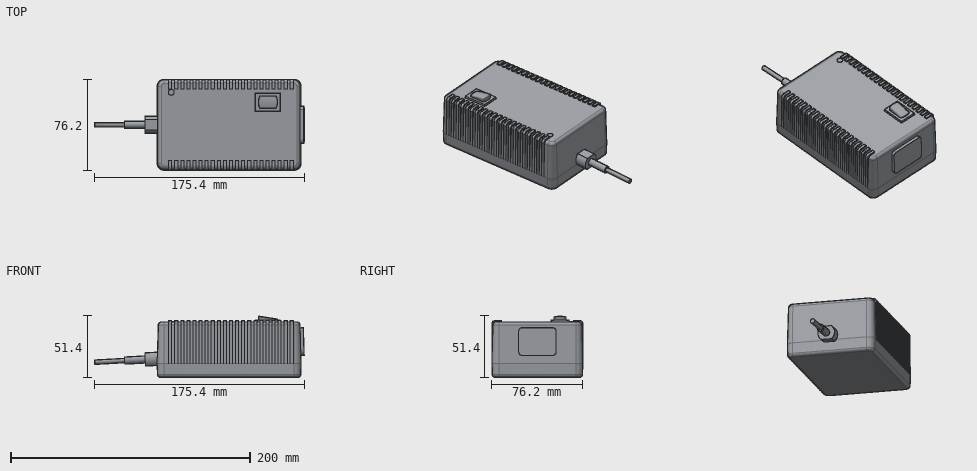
import cadquery as cq
import math

LENGTH = 120.5
WIDTH = 76.2
CORNER_RADIUS = 6.0
PARTING_Z = 11.5
HOUSING_TOP = 46.5
DRAFT = 1.7
EDGE_FILLET = 2.6

RIB_COUNT = 21
RIB_WIDTH = 2.6
RIB_PITCH = 5.1
RIB_FIRST_X = -49.3
RIB_REACH = 8.0
RIB_HEIGHT = 1.0

LAMP_X = -48.5
LAMP_Y = 27.2
LAMP_DIAMETER = 5.0
LAMP_HEIGHT = 0.4

SWITCH_X = 32.5
SWITCH_Y = 19.0
BEZEL_LENGTH = 21.2
BEZEL_WIDTH = 15.5
BEZEL_HEIGHT = 1.5
BEZEL_DRAFT = 11
ROCKER_LENGTH = 16.0
ROCKER_WIDTH = 10.2
ROCKER_HIGH_Z = 51.5
ROCKER_LOW_Z = 49.0
ROCKER_BULGE = 1.0
ROCKER_CROWN = 0.5
ROCKER_CORNER = 0.7
ROCKER_EDGE = 0.5

PLATE_WIDTH = 31.2
PLATE_HEIGHT = 23.2
PLATE_CENTRE_Z = 30.0
PLATE_THICKNESS = 2.8
PLATE_CORNER = 2.8

CABLE_TILT = 3.1
CABLE_ROOT_Z = 15.6
GLAND_DIAMETER = 14.4
GLAND_FLATS = 11.2
GLAND_LENGTH = 10.0
BOOT_DIAMETER = 6.1
BOOT_LENGTH = 17.2
CABLE_DIAMETER = 3.9
CABLE_LENGTH = 25.1
EMBED = 5.3


def shell(height):
    """Drafted half shell grown from the parting plane; the sign of height sets the direction."""
    outline = cq.Sketch().rect(LENGTH, WIDTH).vertices().fillet(CORNER_RADIUS)
    return (
        cq.Workplane("XY", origin=(0, 0, PARTING_Z))
        .placeSketch(outline)
        .extrude(height, taper=DRAFT)
    )


def housing():
    """Cover and base joined, with their outer rims rounded."""
    cover = shell(HOUSING_TOP - PARTING_Z).faces(">Z").edges().fillet(EDGE_FILLET)
    base = shell(-PARTING_Z).faces("<Z").edges().fillet(EDGE_FILLET)
    return cover.union(base)


def rib_pair(x):
    """A pair of ribs, one on each long side, centred on x."""
    height = HOUSING_TOP + RIB_HEIGHT - PARTING_Z
    front_rib = (
        cq.Workplane("XY", origin=(x, (RIB_REACH - WIDTH) / 2, PARTING_Z))
        .rect(RIB_WIDTH, RIB_REACH)
        .extrude(height)
        .edges("|X and >Z and <Y")
        .fillet(EDGE_FILLET)
    )
    return front_rib.union(front_rib.mirror("XZ"))


def lamp():
    """Round lamp standing slightly proud of the cover."""
    return (
        cq.Workplane("XY", origin=(LAMP_X, LAMP_Y, HOUSING_TOP - EMBED))
        .circle(LAMP_DIAMETER / 2)
        .extrude(EMBED + LAMP_HEIGHT)
    )


def rocker_switch():
    """Tapered bezel with a rocker with bulged ends and a sloping, crowned top."""
    bezel = (
        cq.Workplane("XY", origin=(SWITCH_X, SWITCH_Y, HOUSING_TOP))
        .rect(BEZEL_LENGTH, BEZEL_WIDTH)
        .extrude(BEZEL_HEIGHT, taper=BEZEL_DRAFT)
    )
    half_length = ROCKER_LENGTH / 2
    half_width = ROCKER_WIDTH / 2
    corner_x = half_length - ROCKER_BULGE
    block = (
        cq.Workplane("XY", origin=(0, 0, HOUSING_TOP))
        .moveTo(-corner_x, -half_width)
        .lineTo(corner_x, -half_width)
        .threePointArc((half_length, 0), (corner_x, half_width))
        .lineTo(-corner_x, half_width)
        .threePointArc((-half_length, 0), (-corner_x, -half_width))
        .close()
        .extrude(ROCKER_HIGH_Z - HOUSING_TOP)
        .edges("|Z")
        .fillet(ROCKER_CORNER)
    )
    slope = math.degrees(math.atan2(ROCKER_HIGH_Z - ROCKER_LOW_Z, ROCKER_LENGTH))
    crown = (
        cq.Workplane("YZ")
        .moveTo(-half_width, -ROCKER_LENGTH)
        .lineTo(-half_width, -ROCKER_CROWN)
        .threePointArc((0, 0), (half_width, -ROCKER_CROWN))
        .lineTo(half_width, -ROCKER_LENGTH)
        .close()
        .extrude(2 * ROCKER_LENGTH)
        .translate((-half_length, 0, 0))
        .rotate((0, 0, 0), (0, 1, 0), slope)
        .translate((-half_length, 0, ROCKER_HIGH_Z))
    )
    rocker = block.intersect(crown).faces(">Z").edges().fillet(ROCKER_EDGE)
    return bezel.union(rocker.translate((SWITCH_X, SWITCH_Y, 0)))


def socket_plate():
    """Plate built flat, tilted to the wall draft and set against the wall."""
    wall_x = LENGTH / 2 - (PLATE_CENTRE_Z - PARTING_Z) * math.tan(math.radians(DRAFT))
    return (
        cq.Workplane("YZ")
        .rect(PLATE_WIDTH, PLATE_HEIGHT)
        .extrude(EMBED + PLATE_THICKNESS)
        .edges("|X")
        .fillet(PLATE_CORNER)
        .translate((-EMBED, 0, 0))
        .rotate((0, 0, 0), (0, 1, 0), -DRAFT)
        .translate((wall_x, 0, PLATE_CENTRE_Z))
    )


def round_bar(diameter, length):
    """Bar along X, reaching length toward -X and EMBED toward +X."""
    return (
        cq.Workplane("YZ", origin=(EMBED, 0, 0))
        .circle(diameter / 2)
        .extrude(-length - EMBED)
    )


def cable():
    """Flatted gland, boot and cable end, built along -X and then tilted down."""
    between_flats = cq.Workplane("XY").box(2 * GLAND_LENGTH, GLAND_DIAMETER, GLAND_FLATS)
    gland = round_bar(GLAND_DIAMETER, GLAND_LENGTH).intersect(between_flats)
    boot_end = GLAND_LENGTH + BOOT_LENGTH
    boot = round_bar(BOOT_DIAMETER, boot_end)
    lead = round_bar(CABLE_DIAMETER, boot_end + CABLE_LENGTH)
    return (
        gland.union(boot)
        .union(lead)
        .rotate((0, 0, 0), (0, 1, 0), -CABLE_TILT)
        .translate((-LENGTH / 2, 0, CABLE_ROOT_Z))
    )


result = housing()
for index in range(RIB_COUNT):
    result = result.union(rib_pair(RIB_FIRST_X + index * RIB_PITCH))
result = result.union(lamp()).union(rocker_switch()).union(socket_plate()).union(cable())